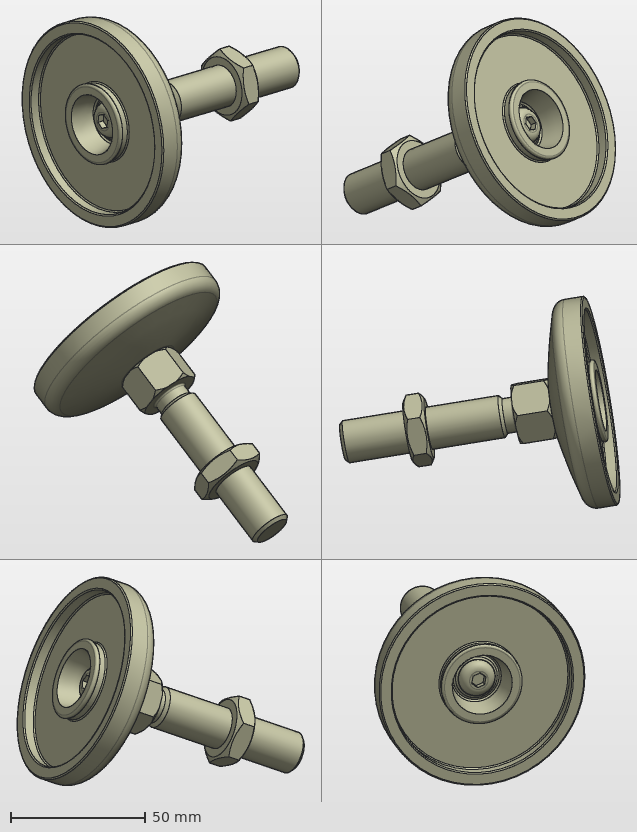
import cadquery as cq
import math


plate_radius = 79 / 2
plate_edge_bevel = 0.5
rim_height = 7.3
corner_radius = 5.0
dome_edge_slope = math.radians(17)
dome_top_radius = 12.0
dome_top_height = 18.0
recess_radius = 69 / 2
recess_depth = 4.75
recess_bevel = 0.5
hub_radius = 30 / 2
hub_lip_radius = 15.5
hub_lip_round = 1.0

bore_mouth_radius = 11.5
bore_end_radius = 9.5
bore_end_height = 9.1
cone_radius = 8.85
cone_base_height = bore_end_height + (bore_end_radius - cone_radius)
cone_slope = math.radians(27)
clearance_radius = 8.4 / 2

washer_radius = 16 / 2
washer_thickness = 1.6
seat_radius = 7.15
seat_height = cone_base_height - (cone_radius - seat_radius) * math.tan(cone_slope)
washer_rim_height = cone_base_height - (cone_radius - washer_radius) * math.tan(cone_slope)
washer_top_height = seat_height + washer_thickness

head_radius = 14 / 2
head_flat_radius = 3.55
head_height = head_radius - head_flat_radius
shank_radius = 8 / 2
shank_length = 20.0
socket_across_flats = 5.0
socket_depth = 2.6
socket_angle = 21
head_low_height = seat_height - head_height
shank_end_height = seat_height + shank_length

stud_radius = 16 / 2
stud_end_height = 98.02
stud_end_bevel = 1.3
neck_radius = 13.2 / 2
neck_end_height = 36.4
thread_start_height = 37.7
neck_fillet = 0.7
hex_across_flats = 22.0
hex_angle = 4.4
hex_top_height = 32.2
hex_bevel_radius = 11.25
hex_bevel_slope = math.radians(45)

nut_across_flats = 24.0
nut_angle = -17.5
nut_low_height = 65.2
nut_thickness = 8.0
nut_bevel_radius = 11.2
nut_bevel_slope = math.radians(32)


def turn(profile):
    """Close a (radius, height) profile and revolve it about the Y axis."""
    return profile.close().revolve(360, (0, 0, 0), (0, 1, 0))


def cylinder(radius, low, high):
    """Cylinder on the Y axis between two heights."""
    return cq.Workplane("XZ", origin=(0, low, 0)).circle(radius).extrude(low - high)


def hexagon(across_flats, angle, low, high):
    """Hexagonal prism on the Y axis, with a corner at the given angle from +X toward +Z."""
    corner_diameter = across_flats * 2 / math.sqrt(3)
    prism = cq.Workplane("XZ", origin=(0, low, 0)).polygon(6, corner_diameter).extrude(low - high)
    return prism.rotate((0, 0, 0), (0, 1, 0), -angle)


def bevelled_hexagon(across_flats, angle, low, high, bevel_radius, bevel_slope):
    """Hexagonal prism with the corners of both ends turned off by cones."""
    corner_radius_of_hex = across_flats / math.sqrt(3)
    bevel_drop = (corner_radius_of_hex - bevel_radius) * math.tan(bevel_slope)
    envelope = turn(
        cq.Workplane("XY")
        .moveTo(0, low)
        .lineTo(bevel_radius, low)
        .lineTo(corner_radius_of_hex, low + bevel_drop)
        .lineTo(corner_radius_of_hex, high - bevel_drop)
        .lineTo(bevel_radius, high)
        .lineTo(0, high)
    )
    return hexagon(across_flats, angle, low, high).intersect(envelope)


def make_plate():
    corner_center_radius = plate_radius - corner_radius
    corner_end = (
        corner_center_radius + corner_radius * math.sin(dome_edge_slope),
        rim_height + corner_radius * math.cos(dome_edge_slope),
    )
    corner_mid_angle = (math.pi / 2 - dome_edge_slope) / 2
    corner_middle = (
        corner_center_radius + corner_radius * math.cos(corner_mid_angle),
        rim_height + corner_radius * math.sin(corner_mid_angle),
    )
    lip_center_radius = hub_lip_radius - hub_lip_round
    lip_back_height = hub_lip_round + math.sqrt(hub_lip_round**2 - (hub_radius - lip_center_radius) ** 2)
    profile = (
        cq.Workplane("XY")
        .moveTo(clearance_radius, dome_top_height)
        .lineTo(clearance_radius, washer_top_height)
        .lineTo(washer_radius, washer_top_height)
        .lineTo(washer_radius, washer_rim_height)
        .lineTo(cone_radius, cone_base_height)
        .lineTo(bore_end_radius, bore_end_height)
        .lineTo(bore_mouth_radius, 0)
        .lineTo(lip_center_radius, 0)
        .threePointArc((hub_lip_radius, hub_lip_round), (hub_radius, lip_back_height))
        .lineTo(hub_radius, recess_depth - recess_bevel)
        .lineTo(hub_radius + recess_bevel, recess_depth)
        .lineTo(recess_radius - recess_bevel, recess_depth)
        .lineTo(recess_radius, recess_depth - recess_bevel)
        .lineTo(recess_radius, recess_bevel)
        .lineTo(recess_radius + recess_bevel, 0)
        .lineTo(plate_radius - plate_edge_bevel, 0)
        .lineTo(plate_radius, plate_edge_bevel)
        .lineTo(plate_radius, rim_height)
        .threePointArc(corner_middle, corner_end)
        .tangentArcPoint((dome_top_radius, dome_top_height), relative=False)
    )
    return turn(profile)


def make_stud():
    fillet_center_radius = neck_radius + neck_fillet
    fillet_center_height = hex_top_height + neck_fillet
    fillet_reach = neck_fillet * math.sqrt(0.5)
    fillet_middle = (fillet_center_radius - fillet_reach, fillet_center_height - fillet_reach)
    spindle = turn(
        cq.Workplane("XY")
        .moveTo(0, hex_top_height)
        .lineTo(fillet_center_radius, hex_top_height)
        .threePointArc(fillet_middle, (neck_radius, fillet_center_height))
        .lineTo(neck_radius, neck_end_height)
        .lineTo(stud_radius, thread_start_height)
        .lineTo(stud_radius, stud_end_height - stud_end_bevel)
        .lineTo(stud_radius - stud_end_bevel, stud_end_height)
        .lineTo(0, stud_end_height)
    )
    wrench_hexagon = bevelled_hexagon(
        hex_across_flats, hex_angle, dome_top_height, hex_top_height, hex_bevel_radius, hex_bevel_slope
    )
    screw_hole = cylinder(shank_radius, dome_top_height, shank_end_height)
    return wrench_hexagon.union(spindle).cut(screw_hole)


def make_nut():
    nut_high_height = nut_low_height + nut_thickness
    blank = bevelled_hexagon(
        nut_across_flats, nut_angle, nut_low_height, nut_high_height, nut_bevel_radius, nut_bevel_slope
    )
    return blank.cut(cylinder(stud_radius, nut_low_height, nut_high_height))


def make_washer():
    return turn(
        cq.Workplane("XY")
        .moveTo(clearance_radius, seat_height)
        .lineTo(seat_radius, seat_height)
        .lineTo(washer_radius, washer_rim_height)
        .lineTo(washer_radius, washer_top_height)
        .lineTo(clearance_radius, washer_top_height)
    )


def make_screw():
    round_reach = head_height * math.sqrt(0.5)
    round_middle = (head_flat_radius + round_reach, seat_height - round_reach)
    blank = turn(
        cq.Workplane("XY")
        .moveTo(0, head_low_height)
        .lineTo(head_flat_radius, head_low_height)
        .threePointArc(round_middle, (head_radius, seat_height))
        .lineTo(shank_radius, seat_height)
        .lineTo(shank_radius, shank_end_height)
        .lineTo(0, shank_end_height)
    )
    socket = hexagon(socket_across_flats, socket_angle, head_low_height, head_low_height + socket_depth)
    return blank.cut(socket)


plate = make_plate()
stud = make_stud()
nut = make_nut()
washer = make_washer()
screw = make_screw()

result = cq.Compound.makeCompound([plate.val(), stud.val(), nut.val(), washer.val(), screw.val()])